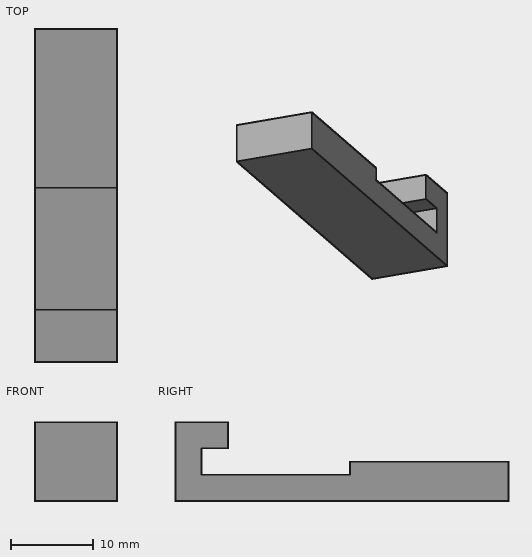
import cadquery as cq

length = 40.55
width = 10.0
height = 9.6
wall = height / 3
pad_height = height / 2
pad_length = 19.3
lip_length = 2 * wall

profile = [
    (0, 0),
    (length, 0),
    (length, pad_height),
    (length - pad_length, pad_height),
    (length - pad_length, wall),
    (wall, wall),
    (wall, height - wall),
    (lip_length, height - wall),
    (lip_length, height),
    (0, height),
]

result = cq.Workplane("YZ").polyline(profile).close().extrude(width / 2, both=True)